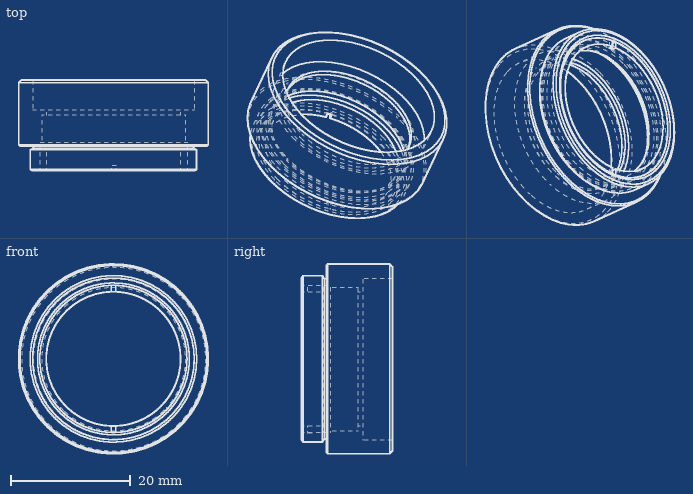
import cadquery as cq

total_length = 15.25
front_y = -total_length / 2
rear_y = total_length / 2

body_diameter = 31.75
collar_diameter = 27.85
neck_diameter = 26.8
collar_length = 3.8
neck_length = 0.35
front_chamfer = 0.25
rear_chamfer = 0.5
collar_chamfer_length = 0.3
collar_chamfer_height = 0.4

mouth_diameter = 25.4
mouth_chamfer_length = 0.22
ring_bore_diameter = 24.6
seat_bore_diameter = 24.0
lip_diameter = 22.4
rear_bore_diameter = 26.95
ring_bore_depth = 4.83
seat_bore_depth = 9.43
lip_length = 0.8

ring_recess = 0.2
ring_length = 3.43
slot_width = 0.7
slot_depth = 0.8


def revolve_profile(points):
    """Turn a closed (radius, y) profile about the Y axis."""
    return cq.Workplane("XY").polyline(points).close().revolve(360, (0, 0), (0, 1))


def make_housing():
    body_r = body_diameter / 2
    collar_r = collar_diameter / 2
    neck_r = neck_diameter / 2
    mouth_r = mouth_diameter / 2
    ring_bore_r = ring_bore_diameter / 2
    seat_bore_r = seat_bore_diameter / 2
    lip_r = lip_diameter / 2
    rear_bore_r = rear_bore_diameter / 2

    collar_end = front_y + collar_length
    body_start = collar_end + neck_length
    mouth_end = front_y + mouth_chamfer_length
    ring_bore_end = front_y + ring_bore_depth
    lip_start = front_y + seat_bore_depth
    lip_end = lip_start + lip_length

    exterior = [
        (collar_r - collar_chamfer_height, front_y),
        (collar_r, front_y + collar_chamfer_length),
        (collar_r, collar_end - collar_chamfer_length),
        (neck_r, collar_end),
        (neck_r, body_start),
        (body_r - front_chamfer, body_start),
        (body_r, body_start + front_chamfer),
        (body_r, rear_y - rear_chamfer),
        (body_r - rear_chamfer, rear_y),
    ]
    interior = [
        (rear_bore_r, rear_y),
        (rear_bore_r, lip_end),
        (lip_r, lip_end),
        (lip_r, lip_start),
        (seat_bore_r, lip_start),
        (seat_bore_r, ring_bore_end),
        (ring_bore_r, ring_bore_end),
        (ring_bore_r, mouth_end),
        (mouth_r, front_y),
    ]
    return revolve_profile(exterior + interior)


def make_retaining_ring():
    outer_r = ring_bore_diameter / 2
    inner_r = lip_diameter / 2
    ring_start = front_y + ring_recess
    ring_end = ring_start + ring_length
    ring = revolve_profile([
        (inner_r, ring_start),
        (outer_r, ring_start),
        (outer_r, ring_end),
        (inner_r, ring_end),
    ])
    slot_bar = cq.Workplane("XY").box(slot_width, slot_depth, 2 * ring_bore_diameter)
    return ring.cut(slot_bar.translate((0, ring_start + slot_depth / 2, 0)))


housing = make_housing()
retaining_ring = make_retaining_ring()

result = cq.Compound.makeCompound([housing.val(), retaining_ring.val()])